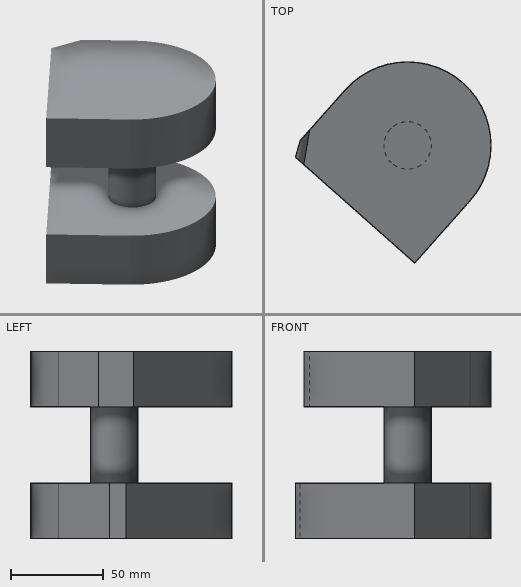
import cadquery as cq

total_height = 101.0
plate_thickness = 30.0
plate_radius = 45.0
base_distance = 44.9
shaft_radius = 12.8
plate_turn = -41.6

lower_clip = (4.0, 8.4)
upper_clip = (10.1, 16.2)


def plate(bottom_z, clip):
    """Flat-based plate with a half-round end and one clipped base corner."""
    base_cut, side_cut = clip
    r = plate_radius
    return (
        cq.Workplane("XY")
        .workplane(offset=bottom_z)
        .moveTo(-r + base_cut, -base_distance)
        .lineTo(r, -base_distance)
        .lineTo(r, 0)
        .threePointArc((0, r), (-r, 0))
        .lineTo(-r, -base_distance + side_cut)
        .close()
        .extrude(plate_thickness)
        .rotate((0, 0, 0), (0, 0, 1), plate_turn)
    )


upper_plate_z = total_height - plate_thickness
lower_plate = plate(0, lower_clip)
upper_plate = plate(upper_plate_z, upper_clip)

shaft = (
    cq.Workplane("XY")
    .workplane(offset=plate_thickness)
    .circle(shaft_radius)
    .extrude(upper_plate_z - plate_thickness)
)

result = lower_plate.union(shaft).union(upper_plate)